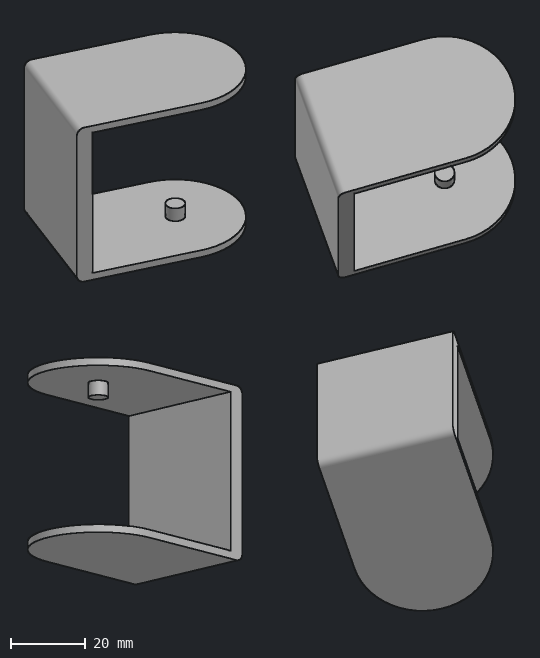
import cadquery as cq

width = 37.7
depth = 54.75
height = 48.1

wall_thickness = 4.55
flange_thickness = 2.2
corner_radius = 2.2
pin_diameter = 5.3
pin_length = 4.0

end_radius = width / 2
pin_y = depth - end_radius


def make_flange(bottom_z):
    """Flat plate with straight sides and a semicircular free end."""
    return (
        cq.Workplane("XY", origin=(0, 0, bottom_z))
        .moveTo(-end_radius, 0)
        .lineTo(end_radius, 0)
        .lineTo(end_radius, pin_y)
        .threePointArc((0, depth), (-end_radius, pin_y))
        .close()
        .extrude(flange_thickness)
    )


def make_pin(bottom_z):
    """Short round pin on the inner face of a flange."""
    return (
        cq.Workplane("XY", origin=(0, pin_y, bottom_z))
        .circle(pin_diameter / 2)
        .extrude(pin_length)
    )


upper_inner_z = height - flange_thickness
back_wall = cq.Workplane("XY").box(width, wall_thickness, height, centered=(True, False, False))
bracket = back_wall.union(make_flange(0)).union(make_flange(upper_inner_z))

bracket = bracket.faces("<Y").edges("|X").fillet(corner_radius)

lower_pin = make_pin(flange_thickness)
upper_pin = make_pin(upper_inner_z - pin_length)
result = bracket.union(lower_pin).union(upper_pin)